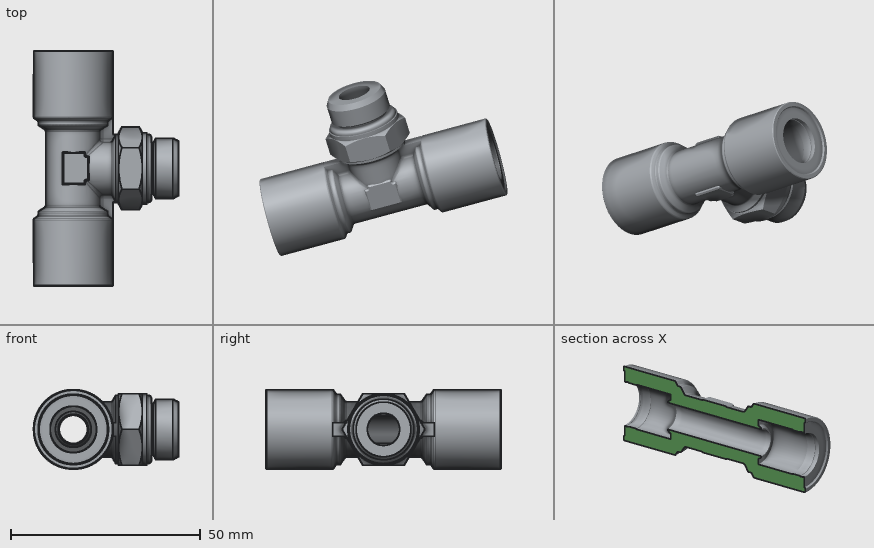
import cadquery as cq
import math


RUN_LENGTH = 62.0
COLLAR_R = 21.0 / 2
COLLAR_INNER_Y = 13.3
COLLAR_EDGE_BREAK = 0.2
NECK_R = 18.6 / 2
NECK_OUTER_Y = 12.5
NECK_INNER_Y = 11.4
NECK_TAPER_END_Y = 10.1
PIPE_R = 14.65 / 2
COLLAR_FILLET = 0.5
NECK_FILLET = 0.4
PIPE_FILLET = 0.5

FACE_RECESS_OUTER_R = 18.6 / 2
FACE_RECESS_INNER_R = 18.0 / 2
FACE_RECESS_DEPTH = 0.4
SOCKET_R = 12.15 / 2
SOCKET_DEPTH = 16.0
RELIEF_R = SOCKET_R + 0.15
MOUTH_RELIEF_START = 1.0
MOUTH_RELIEF_END = 1.8
INNER_RELIEF_START = 4.4
RUN_BORE_R = 7.4 / 2
NOSE_BASE_R = 9.5 / 2
NOSE_SHOULDER_R = 8.8 / 2
NOSE_TIP_R = 8.0 / 2
NOSE_HEIGHT = 1.0
NOSE_TAPER = 0.4

BRANCH_R = PIPE_R
SHOULDER_R = 18.0 / 2
SHOULDER_CONE_X = 10.2
SHOULDER_X = 11.15
SHOULDER_FILLET = 0.45
HEX_X = 11.8
HEX_END_X = 18.2
HEX_FLATS = 18.9
HEX_CHAMFER_ANGLE = 30.0
HEX_REAR_FACE_R = 18.4 / 2
COLLAR_RING_R = 18.8 / 2
COLLAR_RING_END_X = 19.35
SEAL_R = 18.0 / 2
SEAL_ROUND = 0.9
SEAL_END_X = 20.6
UNDERCUT_R = 13.7 / 2
UNDERCUT_END_X = 21.1
THREAD_R = 16.0 / 2
THREAD_X = 21.7
TIP_CHAMFER_X = 26.2
TIP_R = 14.4 / 2
BRANCH_END_X = 27.7
BRANCH_BORE_R = 8.5 / 2

WEB_THICKNESS = 3.6
CROTCH_FILLET = 0.9

PAD_Z = 7.5
PAD_BASE_Z = 6.0
PAD_REAR_X = -2.95
PAD_SHOULDER_X = 3.2
PAD_FRONT_X = 4.2
PAD_HALF_WIDTH = 4.35
PAD_FRONT_HALF_WIDTH = 3.25
PAD_EDGE_BREAK = 0.38
PAD_CORNER_R = 0.42

EDGE_TOLERANCE = 0.01


def revolve_about_x(points):
    """Revolve (x, radius) points about the branch axis."""
    return cq.Workplane("XY").polyline(points).close().revolve(360, (0, 0, 0), (1, 0, 0))


def revolve_about_y(points):
    """Revolve (radius, y) points about the run axis."""
    return cq.Workplane("XY").polyline(points).close().revolve(360, (0, 0, 0), (0, 1, 0))


def circle_edges_at(body, axis, position):
    """Select the circular edges lying at the given position along the X or Y axis."""
    reach = 2 * COLLAR_R
    low, high = position - EDGE_TOLERANCE, position + EDGE_TOLERANCE
    if axis == "X":
        box = cq.selectors.BoxSelector((low, -reach, -reach), (high, reach, reach), boundingbox=True)
    else:
        box = cq.selectors.BoxSelector((-reach, low, -reach), (reach, high, reach), boundingbox=True)
    return body.edges("%CIRCLE").edges(box)


def make_run_half():
    """Pipe, tapered neck and collar on the +Y side."""
    end_y = RUN_LENGTH / 2
    half = revolve_about_y([
        (0, 0),
        (PIPE_R, 0),
        (PIPE_R, NECK_TAPER_END_Y),
        (NECK_R, NECK_INNER_Y),
        (NECK_R, NECK_OUTER_Y),
        (COLLAR_R, COLLAR_INNER_Y),
        (COLLAR_R, end_y),
        (0, end_y),
    ])
    half = circle_edges_at(half, "Y", end_y).chamfer(COLLAR_EDGE_BREAK)
    half = circle_edges_at(half, "Y", COLLAR_INNER_Y).fillet(COLLAR_FILLET)
    half = circle_edges_at(half, "Y", NECK_OUTER_Y).fillet(NECK_FILLET)
    half = circle_edges_at(half, "Y", NECK_INNER_Y).fillet(NECK_FILLET)
    return circle_edges_at(half, "Y", NECK_TAPER_END_Y).fillet(PIPE_FILLET)


def make_run():
    """Straight run with a collar at each end."""
    half = make_run_half()
    return half.union(half.mirror("XZ"))


def make_pad():
    """Raised marking pad on the +Z side."""
    return (
        cq.Workplane("XY", origin=(0, 0, PAD_BASE_Z))
        .polyline([
            (PAD_REAR_X, -PAD_HALF_WIDTH),
            (PAD_SHOULDER_X, -PAD_HALF_WIDTH),
            (PAD_SHOULDER_X, -PAD_FRONT_HALF_WIDTH),
            (PAD_FRONT_X, -PAD_FRONT_HALF_WIDTH),
            (PAD_FRONT_X, PAD_FRONT_HALF_WIDTH),
            (PAD_SHOULDER_X, PAD_FRONT_HALF_WIDTH),
            (PAD_SHOULDER_X, PAD_HALF_WIDTH),
            (PAD_REAR_X, PAD_HALF_WIDTH),
        ])
        .close()
        .extrude(PAD_Z - PAD_BASE_Z)
        .edges("|Z")
        .fillet(PAD_CORNER_R)
        .faces(">Z")
        .chamfer(PAD_EDGE_BREAK)
    )


def make_crossing():
    """Pipe and plain branch of equal radius, with webs and pads, filleted where they meet."""
    pipe = cq.Workplane("XZ").circle(PIPE_R).extrude(COLLAR_INNER_Y, both=True)
    branch = cq.Workplane("YZ").circle(BRANCH_R).extrude(COLLAR_R)
    web = cq.Workplane("XY").box(COLLAR_R, 2 * COLLAR_INNER_Y, WEB_THICKNESS, centered=(False, True, True))
    pad = make_pad()
    crossing = pipe.union(branch).union(web).union(pad).union(pad.mirror("XY"))
    limit_x = COLLAR_R - EDGE_TOLERANCE
    limit_y = COLLAR_INNER_Y - EDGE_TOLERANCE
    inside_ends = cq.selectors.BoxSelector((0, -limit_y, -PAD_BASE_Z), (limit_x, limit_y, PAD_BASE_Z))
    return crossing.edges(inside_ends).fillet(CROTCH_FILLET)


def make_hexagon():
    """Hexagon with flats facing +Z and -Z, chamfered at both ends by cones."""
    slope = math.tan(math.radians(HEX_CHAMFER_ANGLE))
    corner_r = HEX_FLATS / 2 / math.cos(math.pi / 6)
    rear_x = HEX_X + (corner_r - HEX_REAR_FACE_R) * slope
    front_x = HEX_END_X - (corner_r - COLLAR_RING_R) * slope
    blank = (
        cq.Workplane("YZ", origin=(HEX_X, 0, 0))
        .polygon(6, 2 * corner_r)
        .extrude(HEX_END_X - HEX_X)
    )
    envelope = revolve_about_x([
        (HEX_X, 0),
        (HEX_X, HEX_REAR_FACE_R),
        (rear_x, corner_r),
        (front_x, corner_r),
        (HEX_END_X, COLLAR_RING_R),
        (HEX_END_X, 0),
    ])
    return blank.intersect(envelope)


def make_shoulder():
    """Coned shoulder behind the hexagon, filled out to full radius where the webs meet it."""
    stub_x = SHOULDER_CONE_X - 2 * SHOULDER_FILLET
    shoulder = revolve_about_x([
        (stub_x, 0),
        (stub_x, BRANCH_R),
        (SHOULDER_CONE_X, BRANCH_R),
        (SHOULDER_X, SHOULDER_R),
        (HEX_X, SHOULDER_R),
        (HEX_X, 0),
    ])
    cone_root = circle_edges_at(shoulder, "X", SHOULDER_CONE_X)
    shoulder = cone_root.fillet(SHOULDER_FILLET)
    filler = cq.Workplane("YZ", origin=(COLLAR_R, 0, 0)).circle(SHOULDER_R).extrude(HEX_X - COLLAR_R)
    slab = cq.Workplane("XY").box(2 * HEX_X, 2 * SHOULDER_R, WEB_THICKNESS)
    return shoulder.union(filler.intersect(slab))


def make_stud():
    """Ring, rounded seal, undercut and thread envelope beyond the hexagon."""
    profile = (
        cq.Workplane("XY")
        .moveTo(HEX_END_X, 0)
        .lineTo(HEX_END_X, COLLAR_RING_R)
        .lineTo(COLLAR_RING_END_X, COLLAR_RING_R)
        .lineTo(COLLAR_RING_END_X, SEAL_R)
        .lineTo(SEAL_END_X - SEAL_ROUND, SEAL_R)
        .tangentArcPoint((SEAL_END_X, SEAL_R - SEAL_ROUND), relative=False)
        .lineTo(SEAL_END_X, UNDERCUT_R)
        .lineTo(UNDERCUT_END_X, UNDERCUT_R)
        .lineTo(THREAD_X, THREAD_R)
        .lineTo(TIP_CHAMFER_X, THREAD_R)
        .lineTo(BRANCH_END_X, TIP_R)
        .lineTo(BRANCH_END_X, 0)
        .close()
    )
    return profile.revolve(360, (0, 0, 0), (1, 0, 0))


def make_socket():
    """Void of the tube socket in the +Y collar, from its face down to the run centre."""
    face_y = RUN_LENGTH / 2
    recess_y = face_y - FACE_RECESS_DEPTH
    floor_y = face_y - SOCKET_DEPTH
    nose_shoulder_y = floor_y + NOSE_HEIGHT - NOSE_TAPER
    return revolve_about_y([
        (0, face_y),
        (FACE_RECESS_OUTER_R, face_y),
        (FACE_RECESS_INNER_R, recess_y),
        (SOCKET_R, recess_y),
        (SOCKET_R, face_y - MOUTH_RELIEF_START),
        (RELIEF_R, face_y - MOUTH_RELIEF_START),
        (RELIEF_R, face_y - MOUTH_RELIEF_END),
        (SOCKET_R, face_y - MOUTH_RELIEF_END),
        (SOCKET_R, face_y - INNER_RELIEF_START),
        (RELIEF_R, face_y - INNER_RELIEF_START),
        (RELIEF_R, floor_y),
        (NOSE_BASE_R, floor_y),
        (NOSE_SHOULDER_R, nose_shoulder_y),
        (NOSE_TIP_R, floor_y + NOSE_HEIGHT),
        (RUN_BORE_R, floor_y + NOSE_HEIGHT),
        (RUN_BORE_R, 0),
        (0, 0),
    ])


body = make_run().union(make_crossing()).union(make_shoulder()).union(make_hexagon()).union(make_stud())
socket = make_socket()
branch_bore = cq.Workplane("YZ").circle(BRANCH_BORE_R).extrude(BRANCH_END_X)
result = body.cut(socket).cut(socket.mirror("XZ")).cut(branch_bore)